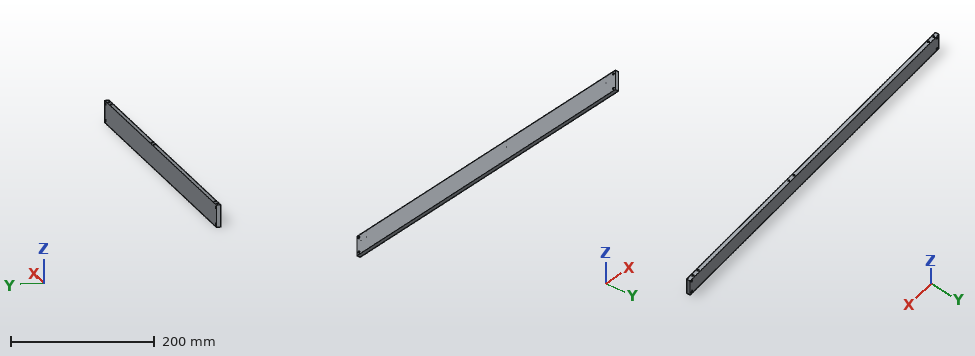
import cadquery as cq

length = 555.0
thickness = 6.0
height = 32.0

corner_hole_diameter = 2.95
corner_hole_inset = 4.15

edge_hole_diameter = 2.55
edge_hole_depth = 10.0
pair_spacing = 11.5
pair_centers = (13.5, 325.0, 539.0)


def corner_holes():
    """Four cylinders along Y, one near each corner of the broad face."""
    return (
        cq.Workplane("XZ", origin=(length / 2, thickness / 2, height / 2))
        .rect(length - 2 * corner_hole_inset, height - 2 * corner_hole_inset, forConstruction=True)
        .vertices()
        .circle(corner_hole_diameter / 2)
        .extrude(thickness, both=True)
    )


def edge_holes():
    """Pairs of cylinders going down from the middle of the top edge."""
    points = [
        (center + side * pair_spacing / 2, thickness / 2)
        for center in pair_centers
        for side in (-1, 1)
    ]
    return (
        cq.Workplane("XY", origin=(0, 0, height))
        .pushPoints(points)
        .circle(edge_hole_diameter / 2)
        .extrude(-edge_hole_depth)
    )


bar = cq.Workplane("XY").box(length, thickness, height, centered=False)
result = bar.cut(corner_holes()).cut(edge_holes())